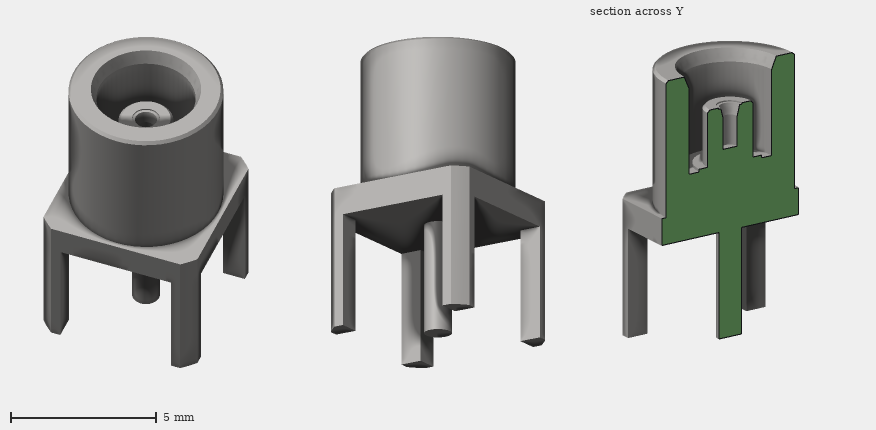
import cadquery as cq

base_width = 5.7
corner_diameter = 7.44
leg_width = 0.8
leg_length = 4.0
flange_thickness = 1.0
flange_top = leg_length + flange_thickness

barrel_radius = 2.67
barrel_top = 10.0
barrel_top_chamfer = 0.1

bore_radius = 1.71
bore_depth = 3.6
bore_floor = barrel_top - bore_depth
mouth_radius = 1.9
mouth_depth = 0.45

step_radius = 1.3
step_height = 0.1
post_radius = 0.95
post_depth = 1.42
post_top = barrel_top - post_depth
post_chamfer = 0.1

contact_radius = 0.48
contact_recess = 0.05
contact_top = post_top - contact_recess
contact_hole_radius = 0.28
contact_hole_depth = 1.5
countersink_width = 0.1
countersink_depth = 0.4

pin_bottom = 0.1


def cylinder(radius, bottom, top):
    """Vertical cylinder on the part's axis."""
    return cq.Workplane("XY").workplane(offset=bottom).circle(radius).extrude(top - bottom)


def make_base():
    """Flange and legs, with the corners rounded about the part's axis."""
    block = cq.Workplane("XY").rect(base_width, base_width).extrude(flange_top)
    block = block.intersect(cylinder(corner_diameter / 2, 0, flange_top))
    gap = base_width - 2 * leg_width
    gap_along_x = cq.Workplane("XY").rect(base_width, gap).extrude(leg_length)
    gap_along_y = cq.Workplane("XY").rect(gap, base_width).extrude(leg_length)
    return block.cut(gap_along_x).cut(gap_along_y)


def make_barrel():
    """Outer barrel with a chamfered rim."""
    barrel = cylinder(barrel_radius, flange_top, barrel_top)
    return barrel.faces(">Z").chamfer(barrel_top_chamfer)


def make_socket():
    """Revolved cutter for the bore and its tapered mouth."""
    profile = [
        (0, bore_floor),
        (bore_radius, bore_floor),
        (bore_radius, barrel_top - mouth_depth),
        (mouth_radius, barrel_top),
        (0, barrel_top),
    ]
    return cq.Workplane("XZ").polyline(profile).close().revolve(360, (0, 0, 0), (0, 1, 0))


def make_insulator():
    """Step and post, with the shallow recess above the contact."""
    step = cylinder(step_radius, bore_floor, bore_floor + step_height)
    post = cylinder(post_radius, bore_floor, post_top).faces(">Z").chamfer(post_chamfer)
    return step.union(post).cut(cylinder(contact_radius, contact_top, post_top))


def make_contact_hole():
    """Revolved cutter for the blind hole in the contact and its countersink."""
    hole_bottom = contact_top - contact_hole_depth
    profile = [
        (0, hole_bottom),
        (contact_hole_radius, hole_bottom),
        (contact_hole_radius, contact_top - countersink_depth),
        (contact_hole_radius + countersink_width, contact_top),
        (0, contact_top),
    ]
    return cq.Workplane("XZ").polyline(profile).close().revolve(360, (0, 0, 0), (0, 1, 0))


shell = make_base().union(make_barrel()).cut(make_socket())
pin = cylinder(contact_radius, pin_bottom, flange_top)
result = shell.union(make_insulator()).union(pin).cut(make_contact_hole())